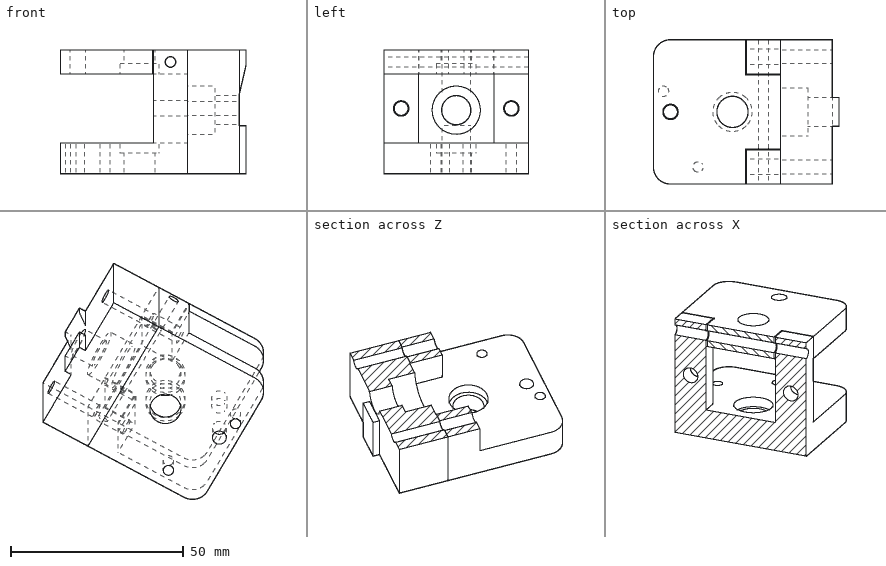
import cadquery as cq

WIDTH = 42.0
HEIGHT = 36.0
CORNER_RADIUS = 5.0

JAW_LENGTH = 27.0
POST_DEPTH = 10.0
POST_WIDTH = 10.0
LOWER_JAW_THICKNESS = 9.0
FRAME_LENGTH = JAW_LENGTH + POST_DEPTH
SLOT_WIDTH = WIDTH - 2 * POST_WIDTH

LEVER_THICKNESS = 7.0
HINGE_CLEARANCE = 0.25
LEVER_BOTTOM = HEIGHT - LEVER_THICKNESS
TONGUE_WIDTH = SLOT_WIDTH - 2 * HINGE_CLEARANCE

HINGE_DIAMETER = 3.0
HINGE_X = JAW_LENGTH + POST_DEPTH / 2
HINGE_Z = LEVER_BOTTOM + LEVER_THICKNESS / 2

BORE_X = 23.0
BORE_DIAMETER = 9.0
SEAT_DIAMETER = 11.4
SEAT_DEPTH = 3.0

SCREW_CLEARANCE_DIAMETER = 4.5
SCREW_CORE_DIAMETER = 4.0
JAW_SCREW_X = 5.0

LOCATING_DIAMETER = 3.0
LOCATING_POINTS = [(3.0, 6.0), (13.0, -16.0)]

POST_SCREW_Y = (WIDTH - POST_WIDTH) / 2
POST_SCREW_Z = (LOWER_JAW_THICKNESS + LEVER_BOTTOM) / 2
POST_SCREW_POINTS = [(-POST_SCREW_Y, POST_SCREW_Z), (POST_SCREW_Y, POST_SCREW_Z)]

BLOCK_LENGTH = 15.0
BLOCK_END = FRAME_LENGTH + BLOCK_LENGTH
BOLT_DIAMETER = 8.4
BOLT_HEAD_DIAMETER = 14.0
BOLT_HEAD_DEPTH = 8.0
BOLT_Z = 18.5
KEY_WIDTH = 8.4
KEY_DEPTH = 2.0
LOWER_KEY_TOP = 14.0
UPPER_KEY_BOTTOM = 23.0
UPPER_KEY_TAPER_TOP = 31.6


def box(x_start, x_end, width, z_start, z_end):
    """Box centred on Y = 0."""
    length = x_end - x_start
    return (
        cq.Workplane("XY", origin=(x_start + length / 2, 0, z_start))
        .rect(length, width)
        .extrude(z_end - z_start)
    )


def holes_along_z(points, diameter, z_start, z_end):
    """Cylinders along Z at the given (x, y) points."""
    plane = cq.Workplane("XY", origin=(0, 0, z_start))
    return plane.pushPoints(points).circle(diameter / 2).extrude(z_end - z_start)


def holes_along_x(points, diameter, x_start, x_end):
    """Cylinders along X at the given (y, z) points."""
    plane = cq.Workplane("YZ", origin=(x_start, 0, 0))
    return plane.pushPoints(points).circle(diameter / 2).extrude(x_end - x_start)


def hinge_hole():
    """Cylinder along Y on the hinge axis, across the full width."""
    plane = cq.Workplane("XZ").center(HINGE_X, HINGE_Z)
    return plane.circle(HINGE_DIAMETER / 2).extrude(WIDTH / 2, both=True)


def make_frame():
    """Lower jaw with rounded tips and the two hinge posts."""
    jaw = box(0, FRAME_LENGTH, WIDTH, 0, LOWER_JAW_THICKNESS)
    jaw = jaw.edges("|Z and <X").fillet(CORNER_RADIUS)
    posts = box(JAW_LENGTH, FRAME_LENGTH, WIDTH, 0, HEIGHT)
    slot = box(JAW_LENGTH, FRAME_LENGTH, SLOT_WIDTH, LOWER_JAW_THICKNESS, HEIGHT)
    frame = jaw.union(posts.cut(slot))

    seat_floor = LOWER_JAW_THICKNESS - SEAT_DEPTH
    frame = frame.cut(holes_along_z([(BORE_X, 0)], BORE_DIAMETER, 0, LOWER_JAW_THICKNESS))
    frame = frame.cut(holes_along_z([(BORE_X, 0)], SEAT_DIAMETER, seat_floor, LOWER_JAW_THICKNESS))
    frame = frame.cut(holes_along_z([(JAW_SCREW_X, 0)], SCREW_CORE_DIAMETER, 0, LOWER_JAW_THICKNESS))
    frame = frame.cut(holes_along_z(LOCATING_POINTS, LOCATING_DIAMETER, 0, LOWER_JAW_THICKNESS))
    frame = frame.cut(
        holes_along_x(POST_SCREW_POINTS, SCREW_CLEARANCE_DIAMETER, JAW_LENGTH, FRAME_LENGTH)
    )
    return frame.cut(hinge_hole())


def make_lever():
    """Upper jaw with rounded tips and the tongue that sits between the posts."""
    jaw = box(0, JAW_LENGTH - HINGE_CLEARANCE, WIDTH, LEVER_BOTTOM, HEIGHT)
    jaw = jaw.edges("|Z and <X").fillet(CORNER_RADIUS)
    tongue = box(BORE_X, FRAME_LENGTH, TONGUE_WIDTH, LEVER_BOTTOM, HEIGHT)
    lever = jaw.union(tongue)

    seat_top = LEVER_BOTTOM + SEAT_DEPTH
    lever = lever.cut(holes_along_z([(BORE_X, 0)], BORE_DIAMETER, LEVER_BOTTOM, HEIGHT))
    lever = lever.cut(holes_along_z([(BORE_X, 0)], SEAT_DIAMETER, LEVER_BOTTOM, seat_top))
    lever = lever.cut(
        holes_along_z([(JAW_SCREW_X, 0)], SCREW_CLEARANCE_DIAMETER, LEVER_BOTTOM, HEIGHT)
    )
    return lever.cut(hinge_hole())


def make_upper_key():
    """Key segment at the top of the rear face, tapering into the block at its lower end."""
    key_end = BLOCK_END + KEY_DEPTH
    return (
        cq.Workplane("XZ")
        .moveTo(BLOCK_END, UPPER_KEY_BOTTOM)
        .lineTo(key_end, UPPER_KEY_TAPER_TOP)
        .lineTo(key_end, HEIGHT)
        .lineTo(BLOCK_END, HEIGHT)
        .close()
        .extrude(KEY_WIDTH / 2, both=True)
    )


def make_mounting_block():
    """Rear block with its bolt hole, post screw holes and split key."""
    block = box(FRAME_LENGTH, BLOCK_END, WIDTH, 0, HEIGHT)
    lower_key = box(BLOCK_END, BLOCK_END + KEY_DEPTH, KEY_WIDTH, 0, LOWER_KEY_TOP)
    block = block.union(lower_key).union(make_upper_key())

    head_end = FRAME_LENGTH + BOLT_HEAD_DEPTH
    block = block.cut(holes_along_x([(0, BOLT_Z)], BOLT_DIAMETER, FRAME_LENGTH, BLOCK_END))
    block = block.cut(holes_along_x([(0, BOLT_Z)], BOLT_HEAD_DIAMETER, FRAME_LENGTH, head_end))
    return block.cut(
        holes_along_x(POST_SCREW_POINTS, SCREW_CORE_DIAMETER, FRAME_LENGTH, BLOCK_END)
    )


frame = make_frame()
lever = make_lever()
mounting_block = make_mounting_block()

result = cq.Compound.makeCompound([frame.val(), lever.val(), mounting_block.val()])